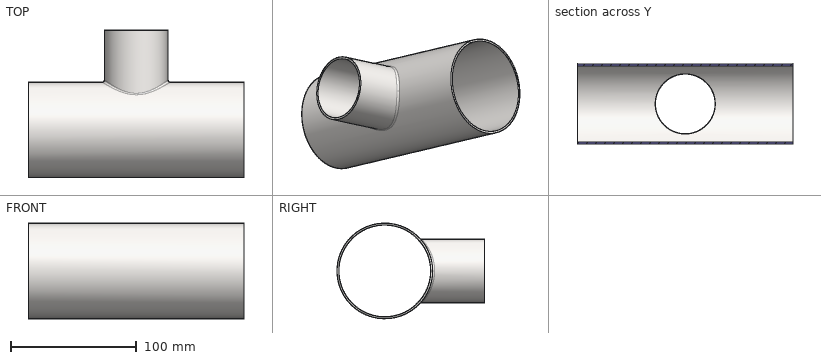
import cadquery as cq

run_length = 171.45
run_outer_diameter = 76.2
run_inner_diameter = 72.9
branch_outer_diameter = 50.8
branch_inner_diameter = 47.5
branch_reach = 79.375
joint_fillet_radius = 1.5875


def run_cylinder(diameter):
    """Solid cylinder along X, centred on the origin."""
    return cq.Workplane("YZ").circle(diameter / 2).extrude(run_length / 2, both=True)


def branch_cylinder(diameter):
    """Solid cylinder from the run axis out to the branch end at +Y."""
    return cq.Workplane("XZ").circle(diameter / 2).extrude(-branch_reach)


def fillet_joint(body):
    """Round the saddle-shaped edge where the branch leaves the run.

    The edge pieces are picked by their centres, which lie inside a box as wide
    as the branch that stops at the +Y side of the run, short of the branch end.
    """
    half_width = branch_outer_diameter / 2
    joint_box = cq.selectors.BoxSelector(
        (-half_width, 0, -half_width),
        (half_width, run_outer_diameter / 2, half_width),
    )
    return body.edges(joint_box).fillet(joint_fillet_radius)


outside = run_cylinder(run_outer_diameter).union(branch_cylinder(branch_outer_diameter))
outside = fillet_joint(outside)
bores = run_cylinder(run_inner_diameter).union(branch_cylinder(branch_inner_diameter))
result = outside.cut(bores)